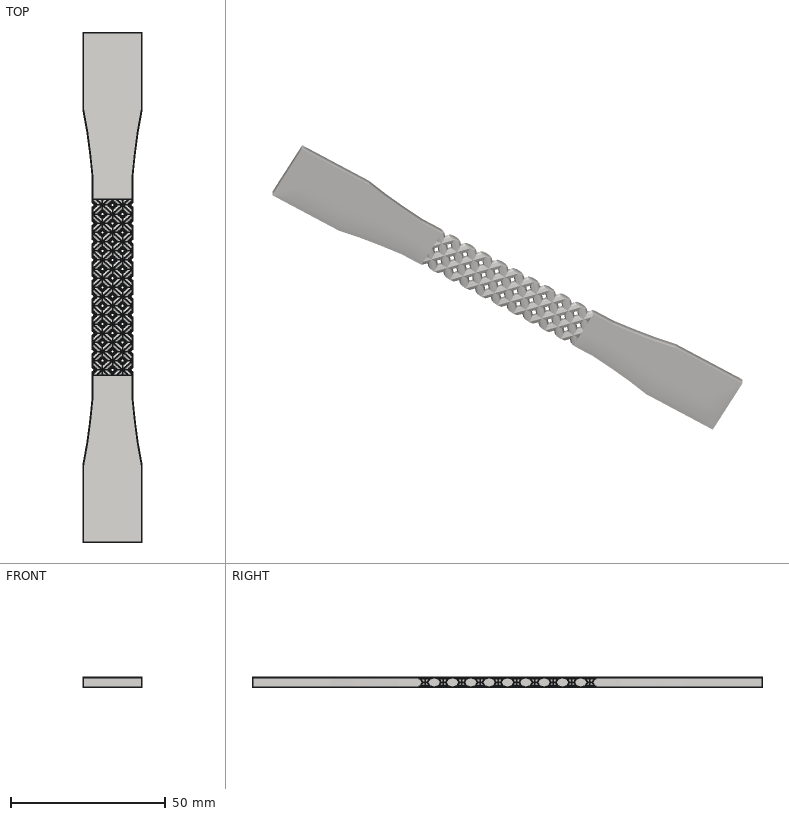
import cadquery as cq
import math

length = 165.0
grip_width = 19.0
neck_width = 13.0
thickness = 3.2

grip_inner_end = 57.5
facet_length = 7.2
outer_bend_half_width = 8.2
inner_bend_half_width = 7.25

lattice_length = 57.0
columns = 2
cell_x = neck_width / columns
cell_y = 5.93
strut_sides = 8
embed = 1.0


def solid_end(side):
    """Grip, faceted taper and neck stub; side is +1 or -1 for the end along Y."""
    outer_bend = grip_inner_end - facet_length
    inner_bend = outer_bend - facet_length
    neck_start = inner_bend - facet_length
    flank = [
        (neck_width / 2, lattice_length / 2),
        (neck_width / 2, neck_start),
        (inner_bend_half_width, inner_bend),
        (outer_bend_half_width, outer_bend),
        (grip_width / 2, grip_inner_end),
        (grip_width / 2, length / 2),
    ]
    right = [(x, side * y) for x, y in flank]
    left = [(-x, y) for x, y in reversed(right)]
    return cq.Workplane("XY").polyline(right + left).close().extrude(thickness)


def strut(start, direction, strut_length):
    """One strut with a corner of its section pointing straight up."""
    section = cq.Plane(origin=start, xDir=(0, 0, 1), normal=direction)
    return cq.Workplane(section).polygon(strut_sides, thickness).extrude(strut_length).val()


def strut_family(slope_sign):
    """Parallel struts along one cell diagonal, one cell apart in Y, trimmed to the neck."""
    slope = slope_sign * cell_y / cell_x
    half_span = neck_width / 2 + cell_x
    direction = cq.Vector(1, slope, 0)
    strut_length = 2 * half_span * direction.Length
    reach = lattice_length / 2 + abs(slope) * neck_width / 2
    last_row = math.ceil(reach / cell_y)
    struts = []
    for row in range(-last_row, last_row + 1):
        start = cq.Vector(-half_span, row * cell_y - slope * half_span, thickness / 2)
        struts.append(strut(start, direction, strut_length))
    envelope = cq.Workplane("XY").box(
        neck_width, lattice_length + 2 * embed, thickness, centered=(True, True, False)
    )
    return cq.Workplane(obj=cq.Compound.makeCompound(struts)).intersect(envelope)


lattice = strut_family(1).union(strut_family(-1))
result = lattice.union(solid_end(1)).union(solid_end(-1))